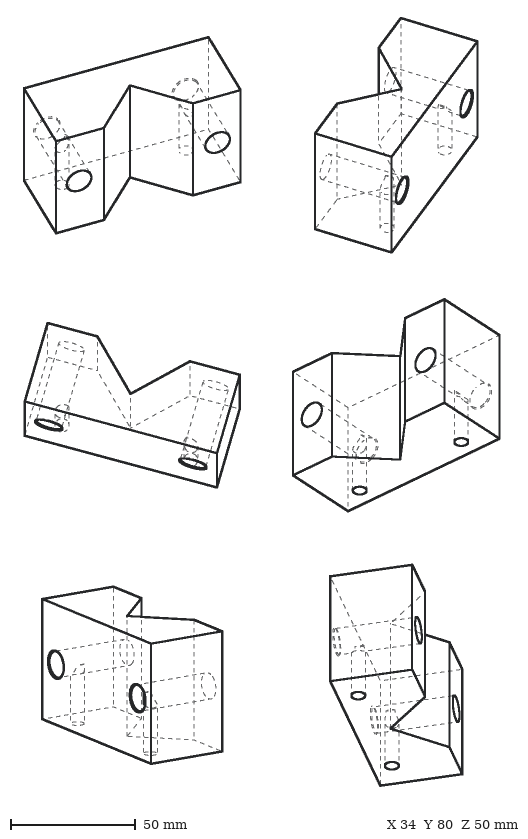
import cadquery as cq

width = 34.0
length = 80.0
height = 50.0

groove_depth = 19.4
groove_half_opening = 19.3

hole_diameter = 10.6
hole_rim_diameter = 11.5
hole_spacing = 60.0
rim_chamfer_angle = 90.0

blind_hole_diameter = 5.6
blind_hole_depth = height / 2
blind_hole_spacing = 53.6
blind_hole_from_back = 8.2


def grooved_block():
    """Block centred on the origin, with its V groove open toward +X."""
    face_x = width / 2
    return (
        cq.Workplane("XY")
        .workplane(offset=-height / 2)
        .moveTo(-face_x, -length / 2)
        .lineTo(face_x, -length / 2)
        .lineTo(face_x, -groove_half_opening)
        .lineTo(face_x - groove_depth, 0)
        .lineTo(face_x, groove_half_opening)
        .lineTo(face_x, length / 2)
        .lineTo(-face_x, length / 2)
        .close()
        .extrude(height)
    )


def drill_bolt_holes(block):
    """Drill the two through holes and chamfer their rims on the -X face."""
    return (
        block.faces("<X")
        .workplane(centerOption="CenterOfBoundBox")
        .pushPoints([(-hole_spacing / 2, 0), (hole_spacing / 2, 0)])
        .cskHole(hole_diameter, hole_rim_diameter, rim_chamfer_angle)
    )


def drill_blind_holes(block):
    """Drill the flat-bottomed vertical holes upward from the -Z face."""
    hole_x = blind_hole_from_back - width / 2
    drills = (
        cq.Workplane("XY")
        .workplane(offset=-height / 2)
        .pushPoints([(hole_x, -blind_hole_spacing / 2), (hole_x, blind_hole_spacing / 2)])
        .circle(blind_hole_diameter / 2)
        .extrude(blind_hole_depth)
    )
    return block.cut(drills)


result = drill_blind_holes(drill_bolt_holes(grooved_block()))